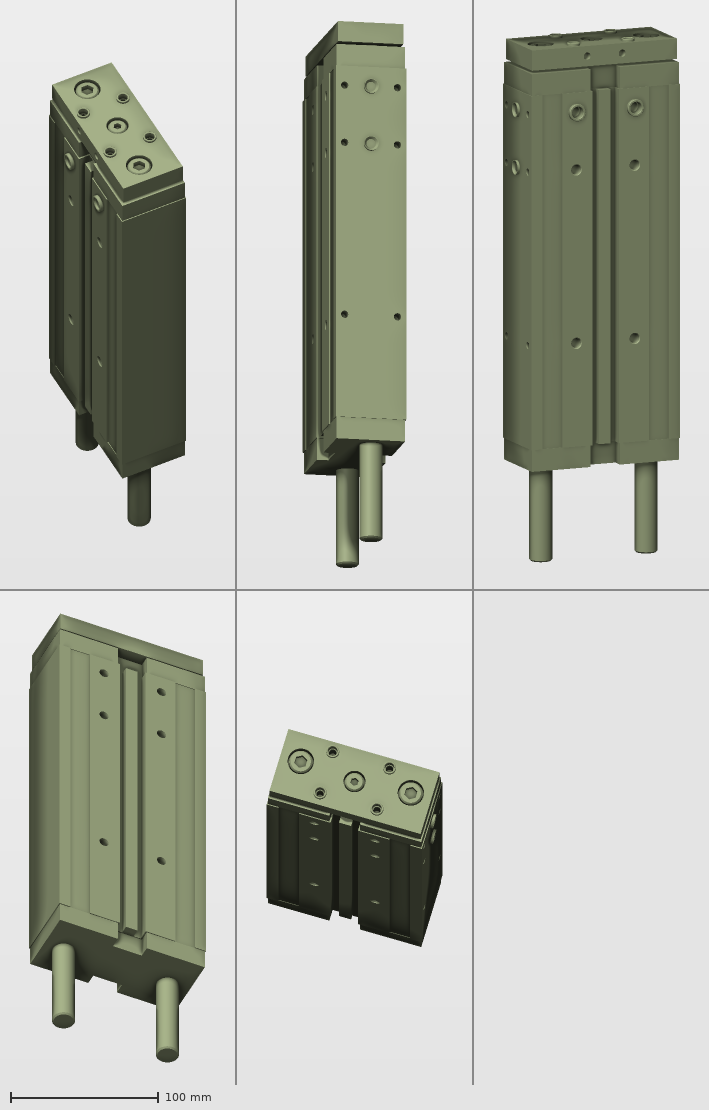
import cadquery as cq

PROFILE_WIDTH = 110.0
PROFILE_DEPTH = 49.0
PROFILE_HEIGHT = 245.5
CAP_HEIGHT = 15.0
CAP_INSET = 0.65
CAP_RECESS_WIDTH = 21.5
CAP_RECESS_DEPTH = 8.0
SLOT_OUTER_X = 9.7
RIB_HALF_WIDTH = 4.3
SLOT_DEPTH = 8.0
RIB_SETBACK = 1.8
STRIP_INNER_X = 32.0
STRIP_OUTER_X = 46.8
STRIP_DEPTH = 1.0

ROD_OVERHANG = 66.2
ROD_DIAMETER = 16.0
ROD_CHAMFER = 1.0
ROD_SPACING = 78.0
ROD_Y = -3.2
PISTON_ROD_DIAMETER = 12.0
YOKE_GAP = 2.0
YOKE_WIDTH = 107.2
YOKE_DEPTH = 45.5
YOKE_HEIGHT = 14.0
YOKE_SIDE_HOLE_X = 13.0
YOKE_SIDE_HOLE_DEPTH = 10.0
SCREW_POCKET_DEPTH = 8.0
SCREW_HEAD_HEIGHT = 7.2
SCREW_HEAD_CHAMFER = 1.0
SOCKET_DEPTH = 4.0
ROD_SCREW = dict(pocket=18.0, head=16.0, across_flats=8.0)
PISTON_SCREW = dict(pocket=15.0, head=13.0, across_flats=5.0)

SMALL_HOLE_DIAMETER = 5.0
SIDE_HOLE_Y = 18.5
SIDE_HOLE_DEPTH = 9.0
FRONT_HOLE_X = 21.5
FRONT_HOLE_DIAMETER = 7.0
FRONT_HOLE_MOUTH = 8.0
YOKE_HOLE_DIAMETER = 5.0
YOKE_HOLE_X = 20.0
YOKE_HOLE_SPREAD_Y = 15.0
YOKE_HOLE_MIDDLE_Y = -0.7

SLEEVE_SEAT_DEPTH = 3.2
RIM_CHAMFER = 0.5
FRONT_SLEEVE_DIAMETER = 12.0
FRONT_SLEEVE_BORE = 8.3
FRONT_SLEEVE_PROUD = 2.5
YOKE_SLEEVE_DIAMETER = 9.0
YOKE_SLEEVE_BORE = 6.5
YOKE_SLEEVE_PROUD = 1.8
PLUG_DIAMETER = 10.0
PLUG_DISH_MOUTH = 9.5
PLUG_DISH_FLOOR = 6.5
PLUG_DISH_DEPTH = 1.8
PLUG_SEAT_DEPTH = 5.5
PLUG_PROUD = 1.8

HOUSING_BOTTOM = ROD_OVERHANG
PROFILE_BOTTOM = HOUSING_BOTTOM + CAP_HEIGHT
PROFILE_TOP = PROFILE_BOTTOM + PROFILE_HEIGHT
HOUSING_TOP = PROFILE_TOP + CAP_HEIGHT
YOKE_BOTTOM = HOUSING_TOP + YOKE_GAP
YOKE_TOP = YOKE_BOTTOM + YOKE_HEIGHT
PORT_LEVEL = HOUSING_TOP - 28.8
SECOND_LEVEL = PORT_LEVEL - 40.0
THIRD_LEVEL = SECOND_LEVEL - 120.0
PORT_LEVELS = (PORT_LEVEL, SECOND_LEVEL)
HOLE_LEVELS = (PORT_LEVEL, SECOND_LEVEL, THIRD_LEVEL)

LEFT_FACE_X = -PROFILE_WIDTH / 2
FRONT_FACE_Y = -PROFILE_DEPTH / 2
YOKE_FRONT_Y = -YOKE_DEPTH / 2
SIDES = (-1, 1)
YOKE_HOLE_POINTS = [
    (side * YOKE_HOLE_X, YOKE_HOLE_MIDDLE_Y + end * YOKE_HOLE_SPREAD_Y)
    for side in SIDES
    for end in SIDES
]
FRONT_HOLE_XS = [side * FRONT_HOLE_X for side in SIDES]
ROD_POINTS = [(side * ROD_SPACING / 2, ROD_Y) for side in SIDES]

UP = (0, 0, 1)
INTO_FRONT = (0, 1, 0)
INTO_LEFT = (1, 0, 0)
OUT_FRONT = (0, -1, 0)
OUT_LEFT = (-1, 0, 0)


def block(x_min, x_max, y_min, y_max, z_min, z_max):
    size = (x_max - x_min, y_max - y_min, z_max - z_min)
    return cq.Workplane("XY").box(*size, centered=False).translate((x_min, y_min, z_min))


def column(width, depth, bottom, height):
    return block(-width / 2, width / 2, -depth / 2, depth / 2, bottom, bottom + height)


def rod(start, direction, diameter, length):
    """Cylinder from the start point along the direction."""
    solid = cq.Solid.makeCylinder(diameter / 2, length, cq.Vector(*start), cq.Vector(*direction))
    return cq.Workplane(solid)


def cone(start, direction, start_diameter, end_diameter, length):
    """Cone or truncated cone from the start point along the direction."""
    radii = (start_diameter / 2, end_diameter / 2)
    solid = cq.Solid.makeCone(*radii, length, cq.Vector(*start), cq.Vector(*direction))
    return cq.Workplane(solid)


def countersink(start, direction, mouth, hole):
    """45-degree widening of a hole at its mouth."""
    return cone(start, direction, mouth, hole, (mouth - hole) / 2)


def small_hole(start, direction, depth):
    """Blind hole with a 90-degree drill point."""
    radius = SMALL_HOLE_DIAMETER / 2
    floor = cq.Vector(*start) + cq.Vector(*direction) * depth
    hole = rod(start, direction, SMALL_HOLE_DIAMETER, depth)
    return hole.union(cone(floor.toTuple(), direction, SMALL_HOLE_DIAMETER, 0, radius))


def hexagon(across_flats, depth):
    """Upright hexagonal prism below Z = 0, with two flats facing along X."""
    return cq.Workplane("XY").polygon(6, across_flats, circumscribed=True).extrude(-depth)


def place(body, origin, direction):
    """Moves a body built along Z so that its axis points along the direction."""
    plane = cq.Plane(origin=origin, xDir=(0, 0, 1) if direction != UP else (1, 0, 0), normal=direction)
    return cq.Workplane(body.val().located(cq.Location(plane)))


def housing_profile():
    profile = column(PROFILE_WIDTH, PROFILE_DEPTH, PROFILE_BOTTOM, PROFILE_HEIGHT)
    face = PROFILE_DEPTH / 2

    def groove(x_min, x_max, depth):
        front = block(x_min, x_max, -face, depth - face, PROFILE_BOTTOM, PROFILE_TOP)
        return front.union(front.mirror("XZ"))

    profile = profile.cut(groove(-RIB_HALF_WIDTH, RIB_HALF_WIDTH, RIB_SETBACK))
    for x_min, x_max, depth in (
        (RIB_HALF_WIDTH, SLOT_OUTER_X, SLOT_DEPTH),
        (STRIP_INNER_X, STRIP_OUTER_X, STRIP_DEPTH),
    ):
        profile = profile.cut(groove(x_min, x_max, depth))
        profile = profile.cut(groove(-x_max, -x_min, depth))
    return profile


def end_cap(bottom):
    depth = PROFILE_DEPTH - 2 * CAP_INSET
    cap = column(PROFILE_WIDTH - 2 * CAP_INSET, depth, bottom, CAP_HEIGHT)
    for side in SIDES:
        recess = column(CAP_RECESS_WIDTH, 2 * CAP_RECESS_DEPTH, bottom, CAP_HEIGHT)
        cap = cap.cut(recess.translate((0, side * depth / 2, 0)))
    return cap


def make_housing():
    housing = housing_profile().union(end_cap(HOUSING_BOTTOM)).union(end_cap(PROFILE_TOP))
    for x, y in ROD_POINTS:
        housing = housing.cut(rod((x, y, HOUSING_BOTTOM), UP, ROD_DIAMETER, HOUSING_TOP - HOUSING_BOTTOM))
    piston_bore = rod((0, 0, PROFILE_BOTTOM), UP, PISTON_ROD_DIAMETER, HOUSING_TOP - PROFILE_BOTTOM)
    housing = housing.cut(piston_bore)
    for x in FRONT_HOLE_XS:
        for level in HOLE_LEVELS:
            start = (x, FRONT_FACE_Y, level)
            housing = housing.cut(rod(start, INTO_FRONT, FRONT_HOLE_DIAMETER, PROFILE_DEPTH))
            housing = housing.cut(countersink(start, INTO_FRONT, FRONT_HOLE_MOUTH, FRONT_HOLE_DIAMETER))
        seat = rod((x, FRONT_FACE_Y, PORT_LEVEL), INTO_FRONT, FRONT_SLEEVE_DIAMETER, SLEEVE_SEAT_DEPTH)
        housing = housing.cut(seat)
    for level in HOLE_LEVELS:
        for side in SIDES:
            start = (LEFT_FACE_X, side * SIDE_HOLE_Y, level)
            housing = housing.cut(small_hole(start, INTO_LEFT, SIDE_HOLE_DEPTH))
    for level in PORT_LEVELS:
        housing = housing.cut(rod((LEFT_FACE_X, 0, level), INTO_LEFT, PLUG_DIAMETER, PLUG_SEAT_DEPTH))
    return housing


def add_screw(yoke, point, pocket, head, across_flats):
    """Sinks a socket-head screw into the yoke, its head standing in a round pocket."""
    floor = YOKE_TOP - SCREW_POCKET_DEPTH
    head_top = floor + SCREW_HEAD_HEIGHT
    yoke = yoke.cut(rod((*point, floor), UP, pocket, SCREW_POCKET_DEPTH))
    screw = rod((*point, floor), UP, head, SCREW_HEAD_HEIGHT).faces(">Z").chamfer(SCREW_HEAD_CHAMFER)
    screw = screw.cut(hexagon(across_flats, SOCKET_DEPTH).translate((*point, head_top)))
    return yoke.union(screw)


def make_slide():
    slide = column(YOKE_WIDTH, YOKE_DEPTH, YOKE_BOTTOM, YOKE_HEIGHT)
    for point in YOKE_HOLE_POINTS:
        slide = slide.cut(rod((*point, YOKE_BOTTOM), UP, YOKE_HOLE_DIAMETER, YOKE_HEIGHT))
        seat_floor = (*point, YOKE_TOP - SLEEVE_SEAT_DEPTH)
        slide = slide.cut(rod(seat_floor, UP, YOKE_SLEEVE_DIAMETER, SLEEVE_SEAT_DEPTH))
    for side in SIDES:
        start = (side * YOKE_SIDE_HOLE_X, YOKE_FRONT_Y, YOKE_BOTTOM + YOKE_HEIGHT / 2)
        slide = slide.cut(small_hole(start, INTO_FRONT, YOKE_SIDE_HOLE_DEPTH))
    for point in ROD_POINTS:
        guide_rod = rod((*point, 0), UP, ROD_DIAMETER, YOKE_BOTTOM).faces("<Z").chamfer(ROD_CHAMFER)
        slide = slide.union(guide_rod)
        slide = add_screw(slide, point, **ROD_SCREW)
    piston_length = YOKE_BOTTOM - PROFILE_BOTTOM
    slide = slide.union(rod((0, 0, PROFILE_BOTTOM), UP, PISTON_ROD_DIAMETER, piston_length))
    return add_screw(slide, (0, 0), **PISTON_SCREW)


def make_sleeve(diameter, bore, proud):
    bottom = (0, 0, -SLEEVE_SEAT_DEPTH)
    height = SLEEVE_SEAT_DEPTH + proud
    sleeve = rod(bottom, UP, diameter, height).cut(rod(bottom, UP, bore, height))
    return sleeve.faces(">Z").edges().chamfer(RIM_CHAMFER)


def make_plug():
    plug = rod((0, 0, -PLUG_SEAT_DEPTH), UP, PLUG_DIAMETER, PLUG_SEAT_DEPTH + PLUG_PROUD)
    dish_floor = (0, 0, PLUG_PROUD - PLUG_DISH_DEPTH)
    return plug.cut(cone(dish_floor, UP, PLUG_DISH_FLOOR, PLUG_DISH_MOUTH, PLUG_DISH_DEPTH))


housing = make_housing()
slide = make_slide()

front_sleeves = []
for x in FRONT_HOLE_XS:
    sleeve = make_sleeve(FRONT_SLEEVE_DIAMETER, FRONT_SLEEVE_BORE, FRONT_SLEEVE_PROUD)
    front_sleeves.append(place(sleeve, (x, FRONT_FACE_Y, PORT_LEVEL), OUT_FRONT).val())

yoke_sleeves = []
for point in YOKE_HOLE_POINTS:
    sleeve = make_sleeve(YOKE_SLEEVE_DIAMETER, YOKE_SLEEVE_BORE, YOKE_SLEEVE_PROUD)
    yoke_sleeves.append(place(sleeve, (*point, YOKE_TOP), UP).val())

port_plugs = []
for level in PORT_LEVELS:
    port_plugs.append(place(make_plug(), (LEFT_FACE_X, 0, level), OUT_LEFT).val())

result = cq.Compound.makeCompound(
    [housing.val(), slide.val(), *front_sleeves, *yoke_sleeves, *port_plugs]
)